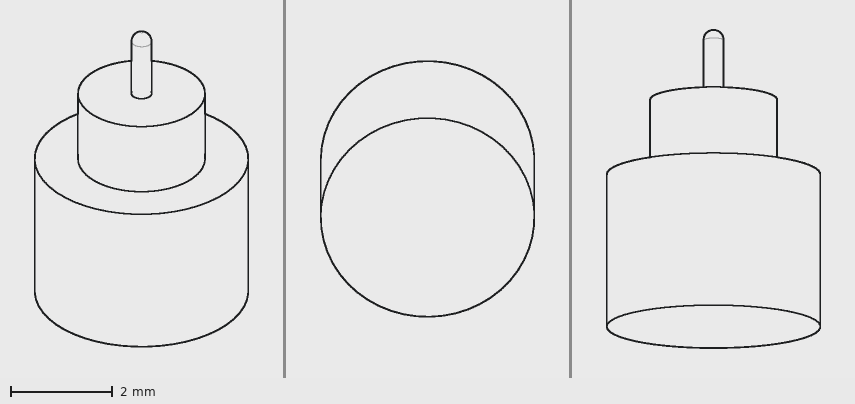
import cadquery as cq

total_height = 5.95
base_height = 3.05
collar_height = 1.5
pin_height = total_height - base_height - collar_height

base_diameter = 4.2
collar_diameter = 2.5
pin_diameter = 0.4
pin_radius = pin_diameter / 2
dome_height = 0.195

base = cq.Workplane("XY").circle(base_diameter / 2).extrude(base_height)

stepped_body = (
    base.faces(">Z").workplane().circle(collar_diameter / 2).extrude(collar_height)
    .faces(">Z").workplane().circle(pin_radius).extrude(pin_height)
)

result = stepped_body.faces(">Z").edges().fillet(dome_height)